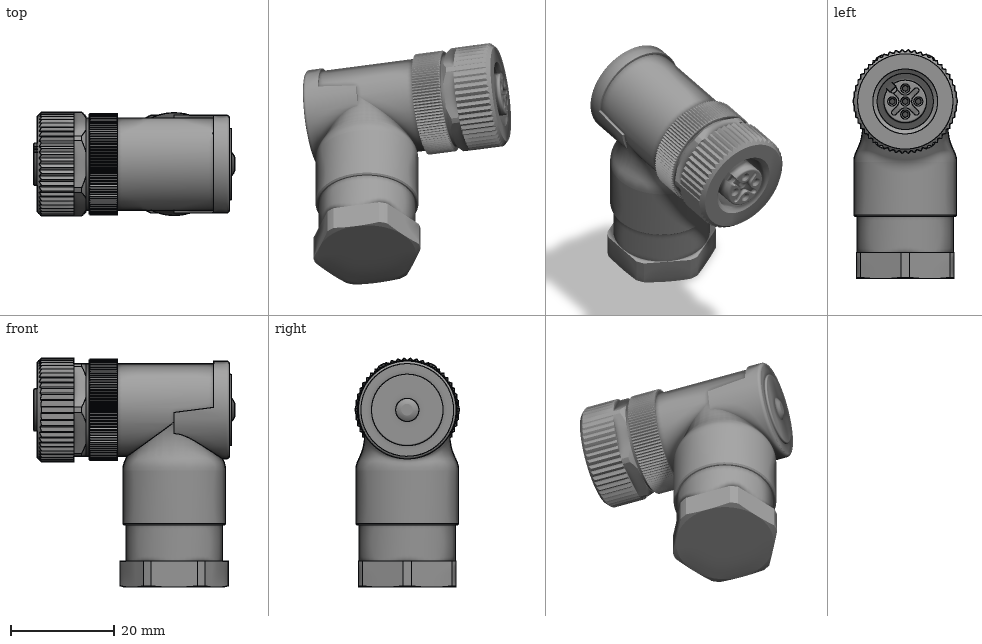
import cadquery as cq
import math


INSERT_FACE_X = -27.3
NUT_FACE_X = -26.6
NUT_KNURL_END_X = -19.45
NUT_CONE_X = -17.97
NUT_END_X = -17.13
RING_START_X = -16.57
RING_END_X = -11.03
CAP_RIM_X = 7.65
CAP_END_X = 10.75
PLATE_END_X = 11.17
DOME_TIP_X = 11.8

BARREL_R = 9.0
CAP_R = 9.5
CAP_FILLET = 0.59
SKIRT_RIM_Z = 0.5
SKIRT_FRONT_Z = -0.48
PLATE_R = 6.95
PLATE_FILLET = 0.25
DOME_R = 2.25
DOME_TIP_R = DOME_R / 2
DOME_BULGE = 0.1

NUT_R = 10.1
NUT_FACE_R = 9.25
NUT_HEX_FLATS = 18.0
NUT_CONE_END_R = 9.3
NUT_QUARTER_TEETH = 13
NUT_TOOTH_FLANK = math.radians(50)

RING_R = 9.85
RING_TEETH = 104
RING_TOOTH_DEPTH = 0.3
RING_ROOT_SHARE = 0.2
RING_CHAMFER = 0.25

RECESS_R = 10.92 / 2
RECESS_MOUTH_R = 6.3
RECESS_DEPTH = 8.0
RECESS_FLOOR_X = NUT_FACE_X + RECESS_DEPTH
INSERT_R = 4.13
INSERT_BASE_FILLET = 0.35
INSERT_FRONT_FILLET = 0.33
CONTACT_OFFSET = 2.53
CONTACT_HOLE_R = 1.1 / 2
CONTACT_MOUTH_R = 0.88
CONTACT_DEPTH = 4.0
CROSS_DEPTH = 1.0
CROSS_ARM_WIDTH = 1.0
CROSS_ARM_REACH = 3.55
KEY_WIDTH = 1.6
KEY_FLOOR_R = 3.35
KEY_END_FILLET = 1.0
KEY_POCKET_WIDTH = 1.4
KEY_POCKET_REACH = 2.65
KEY_POCKET_DEPTH = 2.0
KEY_POCKET_CORNER_R = 0.63
KEY_ANGLE = 45.0

OUTLET_R = 10.0
OUTLET_SHOULDER_Z = -11.79
OUTLET_BEND_Z = -9.54
OUTLET_WAIST_Z = -5.05
OUTLET_WAIST_R = 8.3
OUTLET_FLARE_Z = -2.4
OUTLET_END_Z = -22.33
OUTLET_CHAMFER = 0.27
NECK_R = 18.8 / 2
GLAND_TOP_Z = -29.36
GLAND_END_Z = -34.41
GLAND_FLATS = 19.0
GLAND_CORNER_R = 10.53
GLAND_CHAMFER_DROP = 0.27


def turned(points):
    """Solid of revolution about X from an (x, radius) outline that is closed along the axis."""
    outline = [(points[0][0], 0), *points, (points[-1][0], 0)]
    return cq.Workplane("XY").polyline(outline).close().revolve(360, (0, 0, 0), (1, 0, 0))


def cross_section(x):
    """Workplane across the barrel at x, with local X along +Y and local Y along +Z."""
    return cq.Workplane("YZ", origin=(x, 0, 0))


def polar(radius, angle):
    """Point (y, z) at a radius and an angle measured from +Y towards +Z."""
    return (radius * math.cos(angle), radius * math.sin(angle))


def line_crossing(start_a, angle_a, start_b, angle_b):
    """Point where two lines meet, each given by a start point and a direction angle."""
    gap_y = start_b[0] - start_a[0]
    gap_z = start_b[1] - start_a[1]
    along_a = (gap_y * math.sin(angle_b) - gap_z * math.cos(angle_b)) / math.sin(angle_b - angle_a)
    return (start_a[0] + along_a * math.cos(angle_a), start_a[1] + along_a * math.sin(angle_a))


def nut_quarter_points():
    """Knurl outline from +Y round to +Z: a plain land, then teeth without undercut along Z."""
    half_land = math.pi / 6 - math.acos(NUT_HEX_FLATS / 2 / NUT_R)
    pitch = math.pi / 2 / NUT_QUARTER_TEETH
    tips = [half_land] + [(i + 0.5) * pitch for i in range(1, NUT_QUARTER_TEETH + 1)]
    straight_down = 1.5 * math.pi
    points = []
    for tip, next_tip in zip(tips, tips[1:]):
        upper_flank = tip + math.pi - NUT_TOOTH_FLANK
        lower_flank = max(next_tip + math.pi + NUT_TOOTH_FLANK, straight_down)
        tip_point = polar(NUT_R, tip)
        root_point = line_crossing(tip_point, upper_flank, polar(NUT_R, next_tip), lower_flank)
        points += [tip_point, root_point]
    return points


def make_nut_knurl():
    """Toothed bar, mirrored in both Y and Z, with a plain land on each side."""
    quarter = nut_quarter_points()
    upper_half = quarter + [(-y, z) for y, z in reversed(quarter[:-1])]
    outline = upper_half + [(y, -z) for y, z in reversed(upper_half)]
    return cross_section(NUT_FACE_X).polyline(outline).close().extrude(NUT_KNURL_END_X - NUT_FACE_X)


def make_nut():
    hex_corner_diameter = NUT_HEX_FLATS / math.cos(math.pi / 6)
    hexagon = (
        cross_section(NUT_KNURL_END_X)
        .polygon(6, hex_corner_diameter)
        .extrude(NUT_END_X - NUT_KNURL_END_X)
    )
    envelope = turned([
        (NUT_FACE_X, NUT_FACE_R),
        (NUT_FACE_X + NUT_R - NUT_FACE_R, NUT_R),
        (NUT_CONE_X, NUT_R),
        (NUT_END_X, NUT_CONE_END_R),
    ])
    recess = turned([
        (NUT_FACE_X, RECESS_MOUTH_R),
        (NUT_FACE_X + RECESS_MOUTH_R - RECESS_R, RECESS_R),
        (RECESS_FLOOR_X, RECESS_R),
    ])
    return make_nut_knurl().union(hexagon).intersect(envelope).cut(recess)


def make_ring():
    pitch = 2 * math.pi / RING_TEETH
    half_root = RING_ROOT_SHARE * pitch / 2
    root_r = RING_R - RING_TOOTH_DEPTH
    outline = []
    for i in range(RING_TEETH):
        root = i * pitch
        outline += [
            polar(root_r, root - half_root),
            polar(root_r, root + half_root),
            polar(RING_R, root + pitch / 2),
        ]
    teeth = cross_section(RING_START_X).polyline(outline).close().extrude(RING_END_X - RING_START_X)
    envelope = turned([
        (RING_START_X, RING_R - RING_CHAMFER),
        (RING_START_X + RING_CHAMFER, RING_R),
        (RING_END_X, RING_R),
    ])
    return teeth.intersect(envelope)


def contact_positions():
    d = CONTACT_OFFSET
    return [(d, 0), (0, d), (-d, 0), (0, -d)]


def make_cross_recess():
    """X-shaped recess whose inner corners run round the four outer contacts."""
    face = cross_section(INSERT_FACE_X)
    wall_r = CONTACT_OFFSET * math.sin(math.pi / 4) - CROSS_ARM_WIDTH / 2
    cross = face.polyline(contact_positions()).close().extrude(CROSS_DEPTH)
    cross = cross.cut(face.pushPoints(contact_positions()).circle(wall_r).extrude(CROSS_DEPTH))
    for angle in (45, 135):
        cross = cross.union(face.slot2D(2 * CROSS_ARM_REACH, CROSS_ARM_WIDTH, angle).extrude(CROSS_DEPTH))
    return cross


def make_contact_hole(y, z, mouth_x):
    hole = turned([
        (mouth_x, CONTACT_MOUTH_R),
        (mouth_x + CONTACT_MOUTH_R - CONTACT_HOLE_R, CONTACT_HOLE_R),
        (mouth_x + CONTACT_DEPTH, CONTACT_HOLE_R),
    ])
    return hole.translate((0, y, z))


def radial_slot(inner_r, outer_r, width, depth):
    """Cutter through the insert face, reaching outward from inner_r in the key direction."""
    return (
        cross_section(INSERT_FACE_X)
        .transformed(rotate=(0, 0, KEY_ANGLE))
        .center((inner_r + outer_r) / 2, 0)
        .rect(outer_r - inner_r, width)
        .extrude(depth)
    )


def make_insert_body():
    """Round insert with a key groove, rounded at the face and blended into the recess floor."""
    length = RECESS_FLOOR_X - INSERT_FACE_X
    body = cross_section(INSERT_FACE_X).circle(INSERT_R).extrude(length)
    key = radial_slot(KEY_FLOOR_R, RECESS_R, KEY_WIDTH, length)
    floor_y, floor_z = polar(KEY_FLOOR_R, math.radians(KEY_ANGLE))
    foot_r = INSERT_R + INSERT_BASE_FILLET
    key_end_edge = cq.NearestToPointSelector((RECESS_FLOOR_X, floor_y, floor_z))
    key = key.edges(key_end_edge).fillet(KEY_END_FILLET)
    body = body.faces("<X").edges().fillet(INSERT_FRONT_FILLET).cut(key)
    flange = cross_section(RECESS_FLOOR_X).circle(RECESS_R).extrude(NUT_END_X - RECESS_FLOOR_X)
    foot = (
        cq.Workplane("XY")
        .moveTo(RECESS_FLOOR_X, 0)
        .lineTo(RECESS_FLOOR_X, foot_r)
        .radiusArc((RECESS_FLOOR_X - INSERT_BASE_FILLET, INSERT_R), INSERT_BASE_FILLET)
        .lineTo(RECESS_FLOOR_X - INSERT_BASE_FILLET, 0)
        .close()
        .revolve(360, (0, 0, 0), (1, 0, 0))
    )
    return body.union(foot.cut(key)).union(flange)


def make_insert():
    insert = make_insert_body().cut(make_cross_recess())
    pocket = radial_slot(KEY_POCKET_REACH, INSERT_R, KEY_POCKET_WIDTH, KEY_POCKET_DEPTH)
    pocket = pocket.edges("|X").fillet(KEY_POCKET_CORNER_R)
    insert = insert.cut(pocket)
    insert = insert.cut(make_contact_hole(0, 0, INSERT_FACE_X + CROSS_DEPTH))
    for y, z in contact_positions():
        insert = insert.cut(make_contact_hole(y, z, INSERT_FACE_X))
    return insert


def make_barrel():
    return cross_section(NUT_END_X).circle(BARREL_R).extrude(CAP_END_X - NUT_END_X)


def make_cap():
    """End cap whose lower part reaches forward as a skirt to the outlet axis."""
    skirt_outline = [
        (CAP_RIM_X, CAP_R),
        (CAP_RIM_X, SKIRT_RIM_Z),
        (0, SKIRT_FRONT_Z),
        (0, -CAP_R),
        (CAP_END_X, -CAP_R),
        (CAP_END_X, CAP_R),
    ]
    keep = cq.Workplane("XZ").polyline(skirt_outline).close().extrude(CAP_R, both=True)
    shell = cross_section(0).circle(CAP_R).extrude(CAP_END_X).faces(">X").edges().fillet(CAP_FILLET)
    plate = cross_section(CAP_END_X).circle(PLATE_R).extrude(PLATE_END_X - CAP_END_X)
    plate = plate.faces(">X").edges().fillet(PLATE_FILLET)
    return shell.intersect(keep).union(plate).union(make_dome())


def make_dome():
    """Low boss with a bulging flank and a flat tip."""
    height = DOME_TIP_X - PLATE_END_X
    drop = DOME_R - DOME_TIP_R
    chord = math.hypot(height, drop)
    mid = (
        (PLATE_END_X + DOME_TIP_X) / 2 + DOME_BULGE * drop / chord,
        (DOME_R + DOME_TIP_R) / 2 + DOME_BULGE * height / chord,
    )
    return (
        cq.Workplane("XY")
        .moveTo(CAP_END_X, 0)
        .lineTo(CAP_END_X, DOME_R)
        .lineTo(PLATE_END_X, DOME_R)
        .threePointArc(mid, (DOME_TIP_X, DOME_TIP_R))
        .lineTo(DOME_TIP_X, 0)
        .close()
        .revolve(360, (0, 0, 0), (1, 0, 0))
    )


def make_outlet():
    """Turned outlet: a convex shoulder runs tangentially into a concave waist that meets the barrel."""
    taper = 2 * math.atan((OUTLET_R - OUTLET_WAIST_R) / (OUTLET_WAIST_Z - OUTLET_SHOULDER_Z))
    shoulder_r = (OUTLET_BEND_Z - OUTLET_SHOULDER_Z) / math.sin(taper)
    waist_arc_r = (OUTLET_WAIST_Z - OUTLET_BEND_Z) / math.sin(taper)
    bend = (OUTLET_R - shoulder_r * (1 - math.cos(taper)), OUTLET_BEND_Z)
    shoulder_mid = (
        OUTLET_R - shoulder_r * (1 - math.cos(taper / 2)),
        OUTLET_SHOULDER_Z + shoulder_r * math.sin(taper / 2),
    )
    flare_rise = OUTLET_FLARE_Z - OUTLET_WAIST_Z
    flare_r = OUTLET_WAIST_R + waist_arc_r - math.sqrt(waist_arc_r**2 - flare_rise**2)
    return (
        cq.Workplane("XZ")
        .moveTo(0, GLAND_TOP_Z)
        .lineTo(NECK_R, GLAND_TOP_Z)
        .lineTo(NECK_R, OUTLET_END_Z)
        .lineTo(OUTLET_R - OUTLET_CHAMFER, OUTLET_END_Z)
        .lineTo(OUTLET_R, OUTLET_END_Z + OUTLET_CHAMFER)
        .lineTo(OUTLET_R, OUTLET_SHOULDER_Z)
        .threePointArc(shoulder_mid, bend)
        .threePointArc((OUTLET_WAIST_R, OUTLET_WAIST_Z), (flare_r, OUTLET_FLARE_Z))
        .lineTo(0, OUTLET_FLARE_Z)
        .close()
        .revolve(360, (0, 0, 0), (0, 1, 0))
    )


def make_gland_nut():
    """Hexagon with truncated corners and a shallow cone at its lower end."""
    corner_diameter = GLAND_FLATS / math.cos(math.pi / 6)
    hexagon = (
        cq.Workplane("XY", origin=(0, 0, GLAND_END_Z))
        .polygon(6, corner_diameter)
        .extrude(GLAND_TOP_Z - GLAND_END_Z)
    )
    envelope = (
        cq.Workplane("XZ")
        .polyline([
            (0, GLAND_END_Z),
            (GLAND_FLATS / 2, GLAND_END_Z),
            (GLAND_CORNER_R, GLAND_END_Z + GLAND_CHAMFER_DROP),
            (GLAND_CORNER_R, GLAND_TOP_Z),
            (0, GLAND_TOP_Z),
        ])
        .close()
        .revolve(360, (0, 0, 0), (0, 1, 0))
    )
    return hexagon.intersect(envelope)


result = make_barrel()
for section in (make_cap(), make_outlet(), make_gland_nut(), make_ring(), make_nut(), make_insert()):
    result = result.union(section)